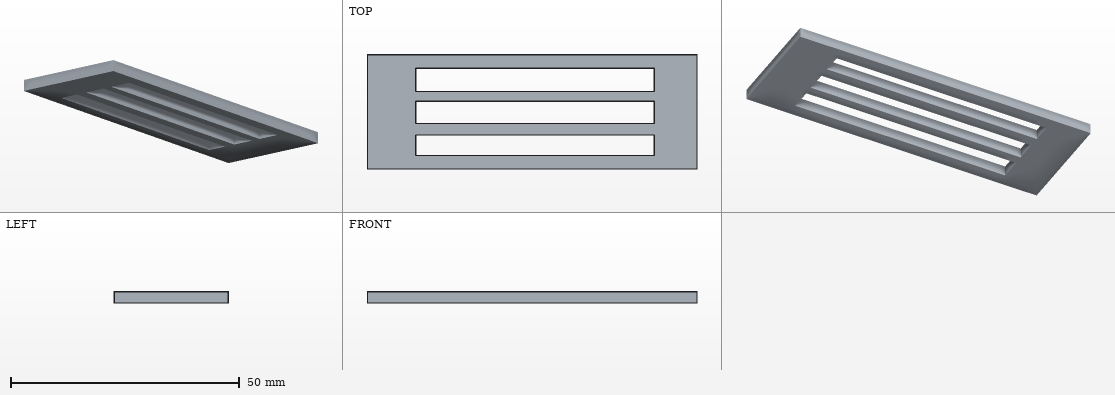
import cadquery as cq

PLATE_LENGTH = 72.0
PLATE_WIDTH = 25.0
PLATE_THICKNESS = 2.5

SLOT_LENGTH = 52.0
LEFT_MARGIN = 10.6

FRONT_MARGIN = 3.0
FRONT_SLOT_WIDTH = 4.4
FRONT_BAR_WIDTH = 2.6
MIDDLE_SLOT_WIDTH = 4.8
BACK_BAR_WIDTH = 2.2
BACK_SLOT_WIDTH = 5.0

FRONT_SLOT_START = FRONT_MARGIN
MIDDLE_SLOT_START = FRONT_SLOT_START + FRONT_SLOT_WIDTH + FRONT_BAR_WIDTH
BACK_SLOT_START = MIDDLE_SLOT_START + MIDDLE_SLOT_WIDTH + BACK_BAR_WIDTH

SLOTS = [
    (FRONT_SLOT_START, FRONT_SLOT_WIDTH),
    (MIDDLE_SLOT_START, MIDDLE_SLOT_WIDTH),
    (BACK_SLOT_START, BACK_SLOT_WIDTH),
]


def make_plate():
    """Flat plate centred on the Z axis, with its underside at Z = 0."""
    return cq.Workplane("XY").box(
        PLATE_LENGTH, PLATE_WIDTH, PLATE_THICKNESS, centered=(True, True, False)
    )


def make_slot(start, width):
    """Square-cornered cutter through the full thickness of the plate."""
    left = LEFT_MARGIN - PLATE_LENGTH / 2
    front = start - PLATE_WIDTH / 2
    cutter = cq.Workplane("XY").box(SLOT_LENGTH, width, PLATE_THICKNESS, centered=False)
    return cutter.translate((left, front, 0))


result = make_plate()
for slot_start, slot_width in SLOTS:
    result = result.cut(make_slot(slot_start, slot_width))